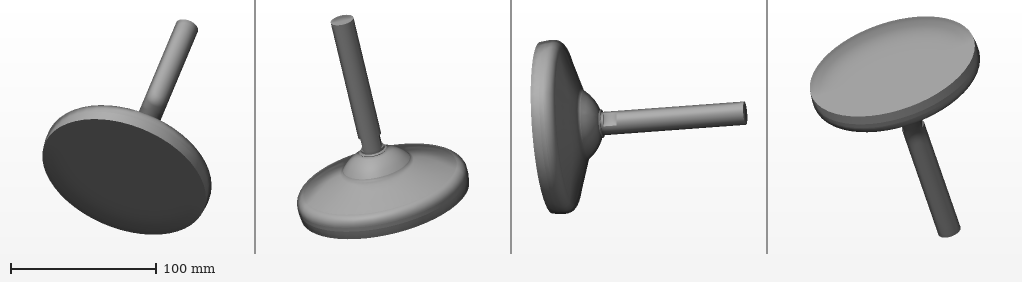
import cadquery as cq
import math

total_length = 139.0

rim_diameter = 120.0
rim_radius = rim_diameter / 2
floor_radius = 59.2
taper_height = 6.1
rim_height = 9.2
cone_bottom_height = 16.1
cone_bottom_radius = 53.8
cone_top_height = 26.3
cone_top_radius = 25.6
dome_radius = 29.7
dome_center_height = 9.9
dome_bottom_height = 28.1
dome_top_height = 38.1

shaft_radius = 8.0
collar_radius = 10.0
collar_thickness = 1.3
collar_bevel = 0.5
flat_spacing = 12.8
flat_length = 9.3
flat_start_height = 41.0


def dome_radius_at(height):
    """Radius of the spherical dome at a given height."""
    return math.sqrt(dome_radius**2 - (height - dome_center_height) ** 2)


def make_base():
    """Tapered rim, rounded shoulder, shallow cone and truncated spherical dome."""
    dome_middle_height = (dome_bottom_height + dome_top_height) / 2
    profile = (
        cq.Workplane("XY")
        .lineTo(floor_radius, 0)
        .lineTo(rim_radius, taper_height)
        .lineTo(rim_radius, rim_height)
        .tangentArcPoint((cone_bottom_radius, cone_bottom_height), relative=False)
        .lineTo(cone_top_radius, cone_top_height)
        .tangentArcPoint((dome_radius_at(dome_bottom_height), dome_bottom_height), relative=False)
        .threePointArc(
            (dome_radius_at(dome_middle_height), dome_middle_height),
            (dome_radius_at(dome_top_height), dome_top_height),
        )
        .lineTo(0, dome_top_height)
        .close()
    )
    return profile.revolve(360, (0, 0, 0), (0, 1, 0))


def make_stud():
    """Round shaft on a bevelled collar, with two wrench flats facing -X and +X."""
    collar_top_height = dome_top_height + collar_thickness
    bevel_radius = collar_radius - collar_bevel
    stud = (
        cq.Workplane("XY")
        .moveTo(0, dome_top_height)
        .lineTo(bevel_radius, dome_top_height)
        .lineTo(collar_radius, dome_top_height + collar_thickness / 2)
        .lineTo(bevel_radius, collar_top_height)
        .lineTo(shaft_radius, collar_top_height)
        .lineTo(shaft_radius, total_length)
        .lineTo(0, total_length)
        .close()
        .revolve(360, (0, 0, 0), (0, 1, 0))
    )
    cutter_width = shaft_radius
    for side in (-1, 1):
        cutter = cq.Workplane("XY").box(cutter_width, flat_length, 2 * shaft_radius).translate(
            (side * (flat_spacing + cutter_width) / 2, flat_start_height + flat_length / 2, 0)
        )
        stud = stud.cut(cutter)
    return stud


base = make_base()
stud = make_stud()

result = cq.Compound.makeCompound([base.val(), stud.val()])